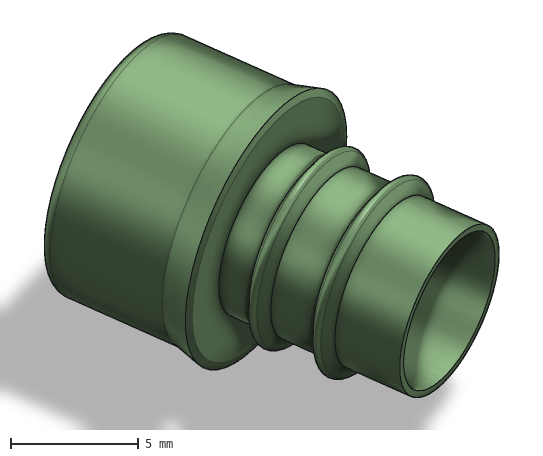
import cadquery as cq
import math

length = 15.5
bore_radius = 6.8 / 2

head_radius = 11.3 / 2
edge_round = 0.5
flare_start = 5.7
flare_end = 7.1
lip_radius = 12.0 / 2
lip_length = 0.11
lip_drop = 0.34

tube_radius = 7.4 / 2
barb_width = 0.99
barb_flank_angle = math.radians(60)
barb_crest_round = 0.22
barb_centers = (9.02, 12.0)


def revolve_about_x(profile):
    """Close an (X, radius) profile and turn it about the X axis."""
    return profile.close().revolve(360, (0, 0, 0), (1, 0, 0))


def make_head():
    profile = (
        cq.Workplane("XY")
        .lineTo(0, head_radius)
        .lineTo(flare_start, head_radius)
        .lineTo(flare_end - lip_length, lip_radius)
        .lineTo(flare_end, lip_radius - lip_drop)
        .lineTo(flare_end, 0)
    )
    return revolve_about_x(profile)


def make_tube():
    return cq.Workplane("YZ").circle(tube_radius).extrude(length)


def make_barb(center):
    """Ring with sloping flanks and a rounded crest, rooted inside the tube wall."""
    root_radius = (bore_radius + tube_radius) / 2
    half_base = barb_width / 2
    sharp_tip = tube_radius + half_base * math.tan(barb_flank_angle)
    arc_center = sharp_tip - barb_crest_round / math.cos(barb_flank_angle)
    half_crest = barb_crest_round * math.sin(barb_flank_angle)
    tangent_radius = arc_center + barb_crest_round * math.cos(barb_flank_angle)
    crest_radius = arc_center + barb_crest_round
    profile = (
        cq.Workplane("XY")
        .moveTo(center - half_base, root_radius)
        .lineTo(center - half_base, tube_radius)
        .lineTo(center - half_crest, tangent_radius)
        .threePointArc((center, crest_radius), (center + half_crest, tangent_radius))
        .lineTo(center + half_base, tube_radius)
        .lineTo(center + half_base, root_radius)
    )
    return revolve_about_x(profile)


body = make_head().union(make_tube())
for barb_center in barb_centers:
    body = body.union(make_barb(barb_center))

bore = cq.Workplane("YZ").circle(bore_radius).extrude(length)

result = body.cut(bore).faces("<X").edges().fillet(edge_round)